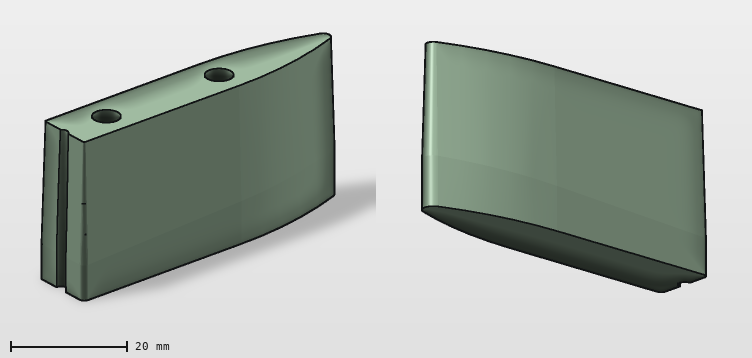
import cadquery as cq
import math

length = 60.0
width = 12.0
height = 30.0
half_width = width / 2

corner_radius = 1.0
nose_radius = 2.0
straight_length = 34.95

draft_angle = 1.7
parting_height_at_end = 6.7
parting_height_at_nose = 9.25

hole_diameter = 5.0
hole_depth = 18.0
hole_tip_angle = 118.0
hole_positions = (10.0, straight_length)

groove_radius = 1.25

nose_center_y = length - nose_radius
flank_rise = nose_center_y - straight_length
flank_radius = (half_width**2 + flank_rise**2 - nose_radius**2) / (2 * (half_width - nose_radius))
flank_center_x = half_width - flank_radius
flank_angle = math.degrees(math.asin(flank_rise / (flank_radius - nose_radius)))


def draft_inset(y, z):
    """Horizontal inset of the drafted wall, zero at the parting line."""
    parting_slope = (parting_height_at_nose - parting_height_at_end) / length
    parting_height = parting_height_at_end + parting_slope * y
    return math.tan(math.radians(draft_angle)) * (z - parting_height)


def arc_point(center, radius, angle, z, drafted):
    """Point on an outline arc, moved inward along its normal if drafted."""
    normal_x = math.cos(math.radians(angle))
    normal_y = math.sin(math.radians(angle))
    inset = draft_inset(center[1] + radius * normal_y, z) if drafted else 0
    return (center[0] + (radius - inset) * normal_x, center[1] + (radius - inset) * normal_y)


def mirrored(point):
    return (-point[0], point[1])


def outline(z, drafted):
    """Closed plan outline at height z, symmetric about the YZ plane."""
    corner_center = (half_width - corner_radius, corner_radius)
    corner = [arc_point(corner_center, corner_radius, a, z, drafted) for a in (-90, -45, 0)]
    flank_center = (flank_center_x, straight_length)
    flank_angles = (0, flank_angle / 2, flank_angle)
    flank = [arc_point(flank_center, flank_radius, a, z, drafted) for a in flank_angles]
    nose_tip = arc_point((0, nose_center_y), nose_radius, 90, z, drafted)
    return (
        cq.Workplane("XY", origin=(0, 0, z))
        .moveTo(*corner[0])
        .threePointArc(corner[1], corner[2])
        .lineTo(*flank[0])
        .threePointArc(flank[1], flank[2])
        .threePointArc(nose_tip, mirrored(flank[2]))
        .threePointArc(mirrored(flank[1]), mirrored(flank[0]))
        .lineTo(*mirrored(corner[2]))
        .threePointArc(mirrored(corner[1]), mirrored(corner[0]))
        .close()
    )


def make_body():
    """Straight walls below the parting line and drafted walls above it."""
    prism = outline(0, drafted=False).extrude(height)
    bottom_wire = outline(0, drafted=True).val()
    top_wire = outline(height, drafted=True).val()
    drafted_solid = cq.Solid.makeLoft([bottom_wire, top_wire], True)
    return prism.intersect(cq.Workplane(drafted_solid))


def make_hole(y):
    """Drilled hole with a conical bottom, revolved about its own axis."""
    radius = hole_diameter / 2
    tip_length = radius / math.tan(math.radians(hole_tip_angle / 2))
    return (
        cq.Workplane("XZ", origin=(0, y, height))
        .polyline([(0, 0), (radius, 0), (radius, -hole_depth), (0, -hole_depth - tip_length)])
        .close()
        .revolve(360, (0, 0), (0, 1))
    )


result = make_body()
for hole_y in hole_positions:
    result = result.cut(make_hole(hole_y))

groove = cq.Workplane("XY").circle(groove_radius).extrude(height)
result = result.cut(groove)